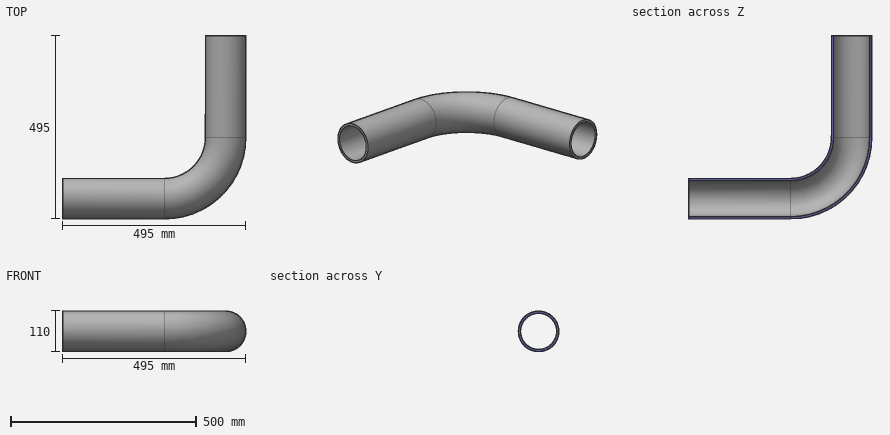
import cadquery as cq

outer_diameter = 110.0
bore_diameter = 96.8

bend_radius = 1.5 * outer_diameter
leg_length = 275.0
bend_angle = 90.0


def pipe_section(workplane):
    """Draw the annular pipe section at the origin of a workplane."""
    return workplane.circle(outer_diameter / 2).circle(bore_diameter / 2)


def leg_along_x():
    """Straight leg running from its open end to the start of the bend."""
    return pipe_section(cq.Workplane("YZ", origin=(-leg_length, 0, 0))).extrude(leg_length)


def bend():
    """Quarter bend from +X to +Y, turning about a vertical axis at (0, bend_radius)."""
    return pipe_section(cq.Workplane("YZ")).revolve(
        bend_angle, (bend_radius, 0, 0), (bend_radius, 1, 0)
    )


def leg_along_y():
    """Straight leg running from the end of the bend to its open end."""
    start = cq.Workplane("XZ", origin=(bend_radius, bend_radius, 0))
    return pipe_section(start).extrude(-leg_length)


result = leg_along_x().union(bend()).union(leg_along_y())